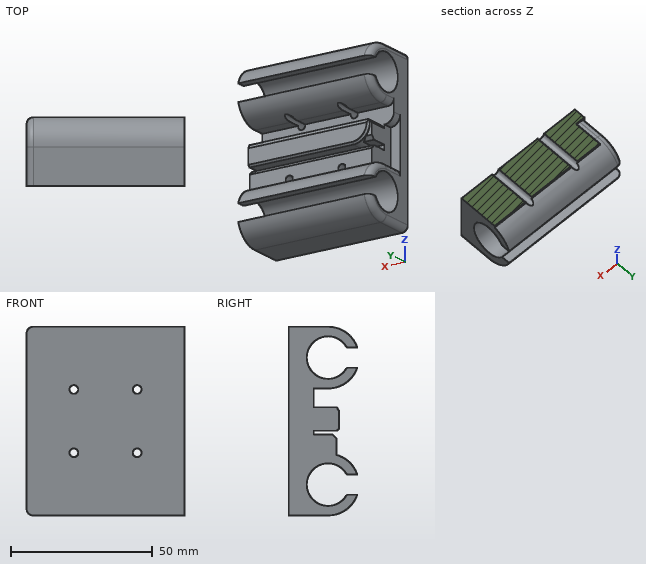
import cadquery as cq

length = 56.1
height = 67.0
clip_radius = 11.0
half_height = height / 2

rod_radius = 7.5
clip_y = 14.0
clip_z = half_height - clip_radius
clip_opening = 7.05
mouth_distance = 6.85
mouth_bevel = 0.8
clip_end_fillet = 2.5

plate_thickness = 9.0
ledge_thickness = 5.0
ledge_depth = 4.0
ledge_corner_radius = 3.95
ledge_top_z = 4.95

rail_height = 17.0
rail_bevel = 1.5
lip_bottom_z = -2.7
slot_top_z = -3.5
slot_bottom_z = -4.7
core_start = 4.8
core_height = 17.95
core_fillet = 7.0
core_tip_bevel = 0.8
core_top_bevel = 1.5

hole_diameter = 3.0
hole_spacing = 22.45


def block(x_start, x_end, y_start, y_end, z_start, z_end):
    """Box between two opposite corners."""
    return cq.Workplane("XY").box(
        x_end - x_start, y_end - y_start, z_end - z_start, centered=False
    ).translate((x_start, y_start, z_start))


def rod_clip(center_z):
    """U-shaped clip body, rounded along its outline at the -X end."""
    bottom_z = center_z - clip_radius
    top_z = center_z + clip_radius
    body = (
        cq.Workplane("YZ")
        .moveTo(0, bottom_z)
        .lineTo(clip_y, bottom_z)
        .threePointArc((clip_y + clip_radius, center_z), (clip_y, top_z))
        .lineTo(0, top_z)
        .close()
        .extrude(length)
    )
    outline = body.faces("<X").edges("not <Y")
    return outline.fillet(clip_end_fillet)


def rod_space(center_z):
    """Rod bore together with its opening, bevelled where it meets the bore."""
    bore = cq.Workplane("YZ").center(clip_y, center_z).circle(rod_radius).extrude(length)
    half_opening = clip_opening / 2
    inner_half_opening = half_opening + mouth_bevel
    mouth_y = clip_y + mouth_distance
    inner_y = mouth_y - mouth_bevel
    outer_y = clip_y + clip_radius
    opening = (
        cq.Workplane("YZ", origin=(0, 0, center_z))
        .polyline([
            (inner_y, -inner_half_opening),
            (mouth_y, -half_opening),
            (outer_y, -half_opening),
            (outer_y, half_opening),
            (mouth_y, half_opening),
            (inner_y, inner_half_opening),
        ])
        .close()
        .extrude(length)
    )
    return bore.union(opening)


def plate():
    """Plate with a recess at the -X end, rounded at its upper corner."""
    ledge = block(0, length, 0, ledge_thickness, -clip_z, clip_z)
    upper = block(0, length, ledge_thickness, plate_thickness, ledge_top_z, clip_z)
    upper = upper.edges("|Y and <X and <Z").fillet(ledge_corner_radius)
    lower = block(ledge_depth, length, ledge_thickness, plate_thickness, -clip_z, ledge_top_z)
    return ledge.union(upper).union(lower)


def upper_rail():
    """Rail with a bevelled lip at the -X end and a taller rounded core."""
    lip = block(ledge_depth, length, ledge_thickness, rail_height, lip_bottom_z, ledge_top_z)
    lip = lip.edges(">Y and <Z").chamfer(rail_bevel)
    core = block(core_start, length, ledge_thickness, core_height, slot_top_z, ledge_top_z)
    core = core.edges("|Y and <X and <Z").fillet(core_fillet)
    core = core.faces(">Y").edges("not(>X or >Z)").chamfer(core_tip_bevel)

    front_wedge = (
        cq.Workplane("XY", origin=(0, plate_thickness, 0))
        .transformed(rotate=(-90, 0, 0))
        .polyline([
            (ledge_depth, -ledge_top_z),
            (ledge_depth + rail_bevel, -ledge_top_z),
            (ledge_depth, rail_bevel - ledge_top_z),
        ])
        .close()
        .extrude(core_height)
    )
    tip_wedge = (
        cq.Workplane("YZ")
        .polyline([
            (core_height, ledge_top_z),
            (core_height - core_tip_bevel, ledge_top_z),
            (core_height, ledge_top_z - core_top_bevel),
        ])
        .close()
        .extrude(length)
    )
    return lip.union(core).cut(front_wedge).cut(tip_wedge)


def lower_rail():
    """Rail joined to the lower clip, bevelled along the slot."""
    rail = block(ledge_depth, length, ledge_thickness, rail_height, -clip_z, slot_bottom_z)
    return rail.edges(">Y and >Z").chamfer(rail_bevel)


def mounting_holes():
    """Four holes through the whole thickness."""
    return (
        cq.Workplane("XZ")
        .center(length / 2, 0)
        .rarray(hole_spacing, hole_spacing, 2, 2)
        .circle(hole_diameter / 2)
        .extrude(-(clip_y + clip_radius))
    )


result = plate().union(upper_rail()).union(lower_rail())
for center_z in (-clip_z, clip_z):
    result = result.union(rod_clip(center_z))
for center_z in (-clip_z, clip_z):
    result = result.cut(rod_space(center_z))
result = result.cut(mounting_holes())